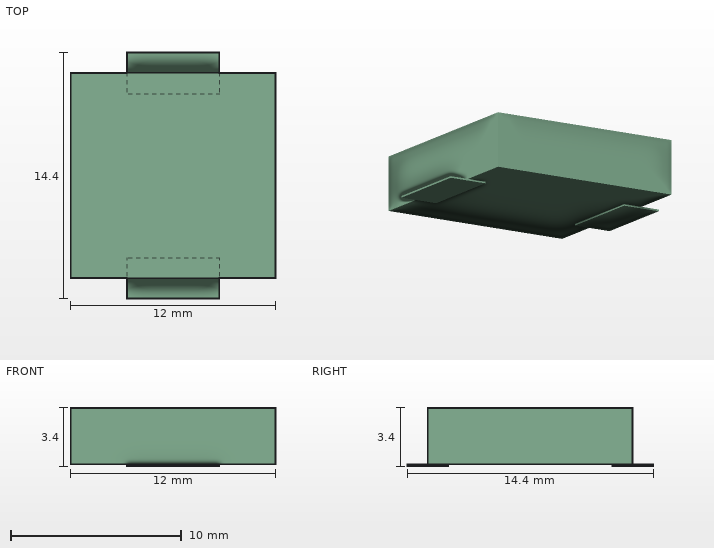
import cadquery as cq

overall_length = 14.4
overall_height = 3.4

housing_side = 12.0

terminal_width = 5.4
terminal_length = 2.4
terminal_thickness = 0.1

housing_height = overall_height - terminal_thickness
terminal_center_y = (overall_length - terminal_length) / 2


def make_housing():
    """Plain square block resting on top of the terminals."""
    return (
        cq.Workplane("XY", origin=(0, 0, terminal_thickness))
        .box(housing_side, housing_side, housing_height, centered=(True, True, False))
    )


def make_terminal(side):
    """Thin flat strip, half under the housing, at the +Y (side = 1) or -Y (side = -1) edge."""
    return (
        cq.Workplane("XY", origin=(0, side * terminal_center_y, 0))
        .box(terminal_width, terminal_length, terminal_thickness, centered=(True, True, False))
    )


housing = make_housing()
terminals = [make_terminal(side) for side in (-1, 1)]

result = cq.Compound.makeCompound(
    [housing.val(), *[terminal.val() for terminal in terminals]]
)